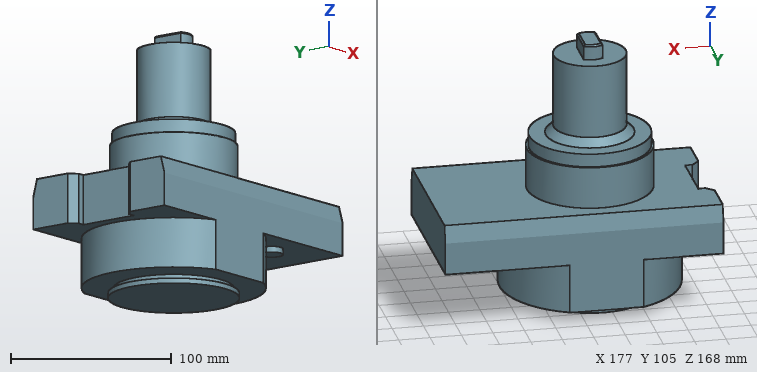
import cadquery as cq
import math

plate_length = 177.0
plate_width = 105.0
axis_from_plate_end = 74.3
bevel_height = 11.0
bevel_angle = 15.0

notch_depth = 9.5
notch_width = 40.2
notch_chamfer = 5.0

flange_top = 3.2
neck_top = 6.4
plate_bottom = 38.0
plate_top = 70.0
collar_top = 97.0
shoulder_top = 105.5
cone_top = 110.6
shaft_top = 158.2
tang_top = 168.0

flange_diameter = 82.0
neck_diameter = 75.0
body_diameter = 115.0
collar_diameter = 80.0
shoulder_diameter = 77.0
cone_base_diameter = 56.0
shaft_diameter = 46.0

tang_width = 12.0
tang_length = 24.0
tang_chamfer = 1.0

pin_diameter = 14.0
pin_length = 3.7
pin_x = 60.0
pin_y = -30.1

plate_start = -axis_from_plate_end


def cylinder(diameter, bottom, top):
    return cq.Workplane("XY").workplane(offset=bottom).circle(diameter / 2).extrude(top - bottom)


def make_plate():
    half_width = plate_width / 2
    bevel_inset = bevel_height * math.tan(math.radians(bevel_angle))
    section = [
        (-half_width, plate_bottom),
        (half_width, plate_bottom),
        (half_width, plate_top - bevel_height),
        (half_width - bevel_inset, plate_top),
        (bevel_inset - half_width, plate_top),
        (-half_width, plate_top - bevel_height),
    ]
    slab = cq.Workplane("YZ").workplane(offset=plate_start).polyline(section).close().extrude(plate_length)

    notch_end = plate_start + notch_depth
    chamfer_end = plate_start + notch_chamfer
    half_notch = notch_width / 2
    half_mouth = half_notch + notch_chamfer
    notch = (
        cq.Workplane("XY")
        .workplane(offset=plate_bottom)
        .polyline([
            (plate_start, -half_mouth),
            (chamfer_end, -half_notch),
            (notch_end, -half_notch),
            (notch_end, half_notch),
            (chamfer_end, half_notch),
            (plate_start, half_mouth),
        ])
        .close()
        .extrude(plate_top - plate_bottom)
    )
    return slab.cut(notch)


def make_lower_body():
    height = plate_bottom - neck_top
    width_limit = (
        cq.Workplane("XY")
        .workplane(offset=neck_top)
        .rect(body_diameter, plate_width)
        .extrude(height)
    )
    body = cylinder(body_diameter, neck_top, plate_bottom).intersect(width_limit)
    neck = cylinder(neck_diameter, flange_top, neck_top)
    flange = cylinder(flange_diameter, 0, flange_top)
    return body.union(neck).union(flange)


def make_spindle():
    half_profile = [
        (0, plate_top),
        (collar_diameter / 2, plate_top),
        (collar_diameter / 2, collar_top),
        (shoulder_diameter / 2, collar_top),
        (shoulder_diameter / 2, shoulder_top),
        (cone_base_diameter / 2, shoulder_top),
        (shaft_diameter / 2, cone_top),
        (shaft_diameter / 2, shaft_top),
        (0, shaft_top),
    ]
    return cq.Workplane("XZ").polyline(half_profile).close().revolve(360, (0, 0), (0, 1))


def make_tang():
    height = tang_top - shaft_top
    flat_sides = cq.Workplane("XY").workplane(offset=shaft_top).rect(tang_width, tang_length).extrude(height)
    tang = cylinder(tang_length, shaft_top, tang_top).intersect(flat_sides)
    return tang.faces(">Z").chamfer(tang_chamfer)


pin = cylinder(pin_diameter, plate_bottom - pin_length, plate_bottom).translate((pin_x, pin_y, 0))

result = (
    make_plate()
    .union(make_lower_body())
    .union(make_spindle())
    .union(make_tang())
    .union(pin)
    .clean()
)